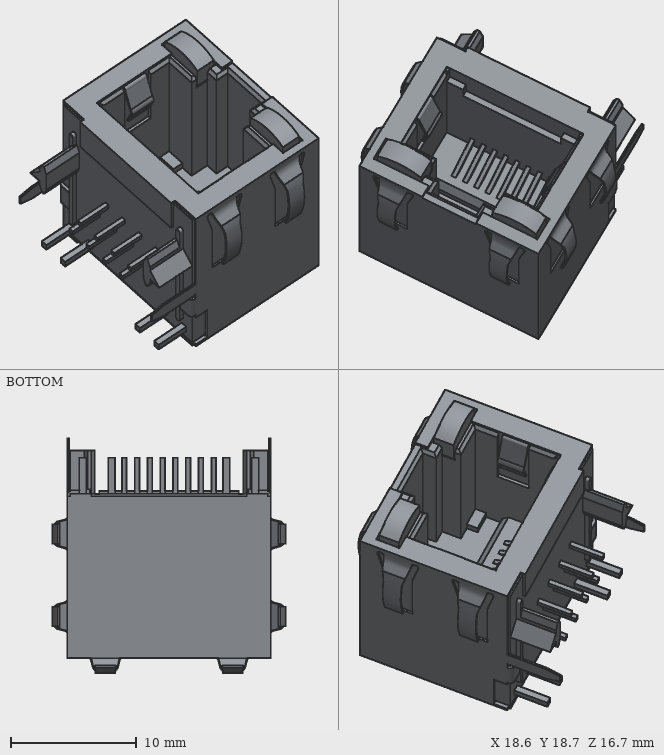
import cadquery as cq
import math


width = 16.23
height = 15.78
shield_depth = 12.9
sheet = 0.17
top_sheet = 0.2
bottom_sheet = 0.22
side_gap = 0.07
housing_face = -13.07
raised_face = -13.31
half_width = width / 2
housing_half = half_width - sheet - side_gap
housing_bottom = 0.37
housing_top = height - top_sheet
gap_depth = 1.12
corner_cut_depth = 1.2
corner_cut_height = 3.57
lip_inner = 6.17
plate_half = 5.55
plate_bottom = 12.72

cavity_half = 5.9
cavity_front = -10.5
cavity_back = -3.67
floor_z = 3.74
shoulder_half = 3.16
shoulder_back = -2.02
key_half = 2.04
key_back = -0.85
lead_in = 0.28
front_ledge = 0.52
front_ledge_z = 14.21
comb_half = 4.43
comb_z = 13.09
shield_notch_half = 2.43
block_back = -6.02
block_top = 4.86
block_chamfer = 0.55
pad_width = 1.65
pad_length = 0.95
pad_height = 0.56

light_x = 5.22
light_width = 3.98
light_front = -3.0
light_back = -1.27
light_edge = 0.37
light_rise = 0.94
window_inner = shoulder_half
window_outer = 7.42
window_front = -3.15
window_back = -1.1
window_depth = 1.5

side_spring_y = (-3.31, -9.9)
back_spring_x = 5.07
spring_rise = 1.2
spring_tip_rise = 0.75
spring_apex_z = 11.5
spring_knee_z = 14.02
spring_knee_rise = 0.77
spring_root_z = 15.15
spring_tip_z = 9.1
spring_half = 0.79
spring_root_half = 1.27
spring_taper_z = 13.2
slot_bottom_z = 8.43
slot_taper_z = 13.03
slot_end_z = 15.03
slot_end_x = 1.55
slot_end_radius = 0.26
slot_depth = 0.19

tab_front = -8.23
tab_back = -5.97
tab_notch_front = -8.34
tab_notch_back = -5.6
tab_notch_z = 9.91
tab_reach = 5.1
tab_fold_top = 13.55
tab_fold_bottom = 12.72
tab_end_x = 5.57
tab_end_z = 11.87

contact_count = 8
contact_span = 7.12
contact_pitch = contact_span / (contact_count - 1)
contact_pin = 0.4
contact_rows_z = (6.02, 7.97)
light_pin = 0.56
light_pin_x = (4.56, 6.86)
left_light_pin_z = 1.33
right_light_pin_z = 1.4
pin_tip = -15.97
contact_back = -7.31
contact_rise = 1.12
contact_thickness = 0.28

rib_x = 6.53
rib_width = 0.45
rib_bottom = 2.23
rib_top = 13.45
rib_face = -13.45
post_tip = -16.55
lug_bottom = 6.41
lug_top = 7.7
lug_taper_y = -16.27
lug_tip = -17.5
lug_tip_inset = 0.28
clip_bottom = 3.83
clip_top = 5.9
clip_inner = 6.79
clip_face = -13.39
clip_bend = 0.45


def span(x0, x1, y0, y1, z0, z1):
    """Box between opposite corner coordinates."""
    return cq.Workplane("XY").box(x1 - x0, y1 - y0, z1 - z0, centered=False).translate((x0, y0, z0))


def both_sides(shape):
    """The shape together with its mirror image across X = 0."""
    return shape.union(shape.mirror("YZ"))


def along_y(outline, y_start, y_end):
    """Extrude an outline sketched in X and Z from y_start towards -Y to y_end."""
    return outline.extrude(y_start - y_end).translate((0, y_start, 0))


def tapered_opening(half, front, back):
    """Rectangular opening through to the floor with a lead-in chamfer under the top sheet."""
    shaft = span(-half, half, front, back, floor_z, height)
    mouth = (
        cq.Workplane("XY", origin=(0, (front + back) / 2, housing_top - lead_in))
        .rect(2 * half, back - front)
        .workplane(offset=lead_in)
        .rect(2 * (half + lead_in), back - front + 2 * lead_in)
        .loft(ruled=True)
    )
    rim = span(-half - lead_in, half + lead_in, front - lead_in, back + lead_in, housing_top, height)
    return shaft.union(mouth).union(rim)


def make_body():
    """Shield box and housing, with the gaps between them at the front."""
    body = span(-half_width, half_width, -shield_depth, 0, 0, height)
    housing = span(-housing_half, housing_half, housing_face, -gap_depth, housing_bottom, housing_top)
    body = body.union(housing)
    body = body.union(span(-plate_half, plate_half, raised_face, -gap_depth, plate_bottom, height))
    lip = span(lip_inner, housing_half, housing_face, -gap_depth, 0, bottom_sheet)
    body = body.union(both_sides(lip))
    gap_back = gap_depth - shield_depth
    gap_outer = housing_half + side_gap
    side_slot = span(housing_half, gap_outer, -shield_depth, gap_back, bottom_sheet, housing_top)
    corner_back = corner_cut_depth - shield_depth
    corner_cut = span(housing_half, half_width, -shield_depth, corner_back, bottom_sheet, corner_cut_height)
    body = body.cut(both_sides(side_slot.union(corner_cut)))
    return body.cut(span(-half_width, half_width, -shield_depth, gap_back, bottom_sheet, housing_bottom))


def make_cavity():
    """Stepped plug opening with a ledge and comb recess at its front."""
    cavity = tapered_opening(cavity_half, cavity_front, cavity_back)
    cavity = cavity.union(tapered_opening(shoulder_half, cavity_front, shoulder_back))
    cavity = cavity.union(tapered_opening(key_half, cavity_front, key_back))
    ledge_front = cavity_front - front_ledge
    cavity = cavity.union(span(-cavity_half, cavity_half, ledge_front, cavity_front, front_ledge_z, height))
    cavity = cavity.union(span(-comb_half, comb_half, ledge_front, cavity_front, comb_z, height))
    rim_half = cavity_half + lead_in
    cavity = cavity.union(span(-rim_half, rim_half, ledge_front, cavity_front, housing_top, height))
    key_relief = span(-shield_notch_half, shield_notch_half, window_back, 0, housing_top, height)
    inner_relief = span(-window_inner, window_inner, cavity_back, window_back, housing_top, height)
    light_relief = span(-rim_half, rim_half, cavity_back, window_front, housing_top, height)
    cavity = cavity.union(key_relief).union(inner_relief).union(light_relief)
    window = span(window_inner, window_outer, window_front, window_back, height - window_depth, height)
    tab_notch = span(0, rim_half, tab_notch_front, tab_notch_back, tab_notch_z, housing_top)
    return cavity.union(both_sides(window.union(tab_notch)))


def make_light():
    """Light with a domed top, standing in its window."""
    left = light_x - light_width / 2
    right = light_x + light_width / 2
    outline = (
        cq.Workplane("XZ")
        .moveTo(left, height - window_depth)
        .lineTo(left, height + light_edge)
        .threePointArc((light_x, height + light_rise), (right, height + light_edge))
        .lineTo(right, height - window_depth)
        .close()
    )
    return along_y(outline, light_back, light_front)


def make_cavity_floor():
    """Contact block, floor pads and the sloping contacts."""
    wall = cavity_front - front_ledge
    block = (
        cq.Workplane("YZ", origin=(-cavity_half, 0, 0))
        .moveTo(wall, floor_z)
        .lineTo(block_back, floor_z)
        .lineTo(block_back, block_top - block_chamfer)
        .lineTo(block_back - block_chamfer, block_top)
        .lineTo(wall, block_top)
        .close()
        .extrude(2 * cavity_half)
    )
    pad_inner = cavity_half - pad_width
    pad = span(pad_inner, cavity_half, cavity_back - pad_length, cavity_back, floor_z, floor_z + pad_height)
    floor = block.union(both_sides(pad))
    contact = (
        cq.Workplane("YZ", origin=(-contact_pin / 2, 0, 0))
        .moveTo(contact_back, block_top - contact_thickness)
        .lineTo(contact_back, block_top)
        .lineTo(cavity_front, block_top + contact_rise)
        .lineTo(wall, block_top + contact_rise)
        .lineTo(wall, block_top + contact_rise - contact_thickness)
        .lineTo(cavity_front, block_top + contact_rise - contact_thickness)
        .close()
        .extrude(contact_pin)
    )
    for x in contact_positions():
        floor = floor.union(contact.translate((x, 0, 0)))
    return floor


def make_cavity_tab():
    """Sheet tab that curls over the rim, slopes into the cavity and folds back at its free end."""
    rim = cavity_half + lead_in
    root = rim + sheet
    slope_top = housing_top - lead_in
    fold_x = tab_reach + sheet
    fold_middle_z = (tab_fold_top + tab_fold_bottom) / 2
    curl_x = rim - lead_in * math.cos(math.pi / 4)
    curl_z = slope_top + lead_in * math.sin(math.pi / 4)
    outline = (
        cq.Workplane("XZ")
        .moveTo(root, housing_top)
        .lineTo(rim, housing_top)
        .threePointArc((curl_x, curl_z), (cavity_half, slope_top))
        .lineTo(fold_x, tab_fold_top)
        .threePointArc((tab_reach, fold_middle_z), (fold_x, tab_fold_bottom))
        .lineTo(tab_end_x, tab_end_z)
        .lineTo(tab_end_x + sheet, tab_end_z)
        .lineTo(fold_x + sheet, tab_fold_bottom)
        .threePointArc((tab_reach + sheet, fold_middle_z), (fold_x + sheet, tab_fold_top))
        .lineTo(cavity_half + sheet, slope_top - sheet)
        .lineTo(root, slope_top)
        .close()
    )
    return along_y(outline, tab_back, tab_front)


def make_spring_slot():
    """Recess with a straight lower part and two round-ended branches."""
    lower = span(-slot_depth, 0, -spring_root_half, spring_root_half, slot_bottom_z, slot_taper_z)
    wedge = (
        cq.Workplane("YZ", origin=(-slot_depth, 0, 0))
        .moveTo(-spring_root_half, slot_taper_z)
        .lineTo(spring_root_half, slot_taper_z)
        .lineTo(slot_end_x + slot_end_radius, slot_end_z)
        .lineTo(spring_root_half, spring_root_z)
        .lineTo(-spring_root_half, spring_root_z)
        .lineTo(-slot_end_x - slot_end_radius, slot_end_z)
        .close()
        .extrude(slot_depth)
    )
    ends = (
        cq.Workplane("YZ", origin=(-slot_depth, 0, 0))
        .pushPoints([(-slot_end_x, slot_end_z), (slot_end_x, slot_end_z)])
        .circle(slot_end_radius)
        .extrude(slot_depth)
    )
    return lower.union(wedge).union(ends)


def make_spring():
    """Bowed sheet finger, narrowing from its root to a parallel tip."""
    bend_middle_rise = 0.07
    bend_middle_z = 14.83
    bend_end_rise = 0.26
    bend_end_z = 14.55
    inner_apex = (spring_rise - sheet, spring_apex_z)
    inner_knee = (spring_knee_rise - sheet, spring_knee_z - sheet / 3)
    bow = (
        cq.Workplane("XZ", origin=(0, spring_root_half, 0))
        .moveTo(-sheet, spring_root_z + sheet)
        .lineTo(0, spring_root_z)
        .threePointArc((bend_middle_rise, bend_middle_z), (bend_end_rise, bend_end_z))
        .lineTo(spring_knee_rise, spring_knee_z)
        .threePointArc((spring_rise, spring_apex_z), (spring_tip_rise, spring_tip_z))
        .lineTo(spring_tip_rise - sheet, spring_tip_z + sheet / 3)
        .threePointArc(inner_apex, inner_knee)
        .lineTo(bend_end_rise - sheet, bend_end_z - sheet / 2)
        .lineTo(-sheet, bend_middle_z)
        .close()
        .extrude(2 * spring_root_half)
    )
    outline = (
        cq.Workplane("YZ", origin=(-sheet, 0, 0))
        .moveTo(-spring_half, 0)
        .lineTo(-spring_half, spring_taper_z)
        .lineTo(-spring_root_half, spring_root_z)
        .lineTo(-spring_root_half, height)
        .lineTo(spring_root_half, height)
        .lineTo(spring_root_half, spring_root_z)
        .lineTo(spring_half, spring_taper_z)
        .lineTo(spring_half, 0)
        .close()
        .extrude(2 * spring_rise)
    )
    return bow.intersect(outline)


def at_spring_places(shape):
    """Copies of a spring feature, two on each side and two on the back."""
    places = [(half_width, y, 0) for y in side_spring_y]
    places += [(-half_width, y, 180) for y in side_spring_y]
    places += [(x, 0, 90) for x in (-back_spring_x, back_spring_x)]
    return [shape.rotate((0, 0, 0), (0, 0, 1), turn).translate((x, y, 0)) for x, y, turn in places]


def contact_positions():
    """X positions of the evenly pitched contacts."""
    middle = (contact_count - 1) / 2
    return [(i - middle) * contact_pitch for i in range(contact_count)]


def make_pin(x, z, size):
    """Square pin standing on the housing face."""
    half = size / 2
    return span(x - half, x + half, pin_tip, housing_face + gap_depth, z - half, z + half)


def make_pins():
    """Two staggered rows of contact pins and two pairs of light pins."""
    pins = cq.Workplane("XY")
    for i, x in enumerate(contact_positions()):
        pins = pins.add(make_pin(x, contact_rows_z[i % 2], contact_pin))
    for x in light_pin_x:
        pins = pins.add(make_pin(-x, left_light_pin_z, light_pin))
        pins = pins.add(make_pin(x, right_light_pin_z, light_pin))
    return pins.combine()


def make_rib():
    """Tall round-ended standoff rib on the housing face."""
    outline = (
        cq.Workplane("XZ")
        .center(rib_x, (rib_bottom + rib_top) / 2)
        .slot2D(rib_top - rib_bottom, rib_width, 90)
    )
    return along_y(outline, housing_face + gap_depth, rib_face)


def make_post():
    """Locating post with pointed ends and a triangular side fin."""
    inner = 5.9
    outer = rib_x + rib_width / 2
    tip_inner = 6.2
    tip_outer = 6.45
    post_top = 12.12
    post_bottom = 8.77
    shoulder_top = 11.45
    shoulder_bottom = 9.52
    fin_top = 11.03
    fin_bottom = 9.9
    core = (
        cq.Workplane("XZ")
        .polyline([
            (tip_inner, post_top), (inner, shoulder_top), (inner, shoulder_bottom), (tip_inner, post_bottom),
            (tip_outer, post_bottom), (outer, shoulder_bottom), (outer, shoulder_top), (tip_outer, post_top),
        ])
        .close()
    )
    fin = (
        cq.Workplane("XZ")
        .polyline([(inner, fin_bottom), (housing_half, fin_bottom), (outer, fin_top), (inner, fin_top)])
        .close()
    )
    base = housing_face + gap_depth
    return along_y(core, base, post_tip).union(along_y(fin, base, post_tip))


def make_lug():
    """Flat pointed grounding lug continuing the side of the shield."""
    return (
        cq.Workplane("YZ", origin=(half_width - sheet, 0, 0))
        .moveTo(-shield_depth + gap_depth, lug_bottom)
        .lineTo(lug_taper_y, lug_bottom)
        .lineTo(lug_tip, lug_bottom + lug_tip_inset)
        .lineTo(lug_tip, lug_top - lug_tip_inset)
        .lineTo(lug_taper_y, lug_top)
        .lineTo(-shield_depth + gap_depth, lug_top)
        .close()
        .extrude(sheet)
    )


def make_clip():
    """Shield tab bent around the front corner of the housing."""
    clip = span(clip_inner, half_width, clip_face, housing_face, clip_bottom, clip_top)
    side = span(housing_half, half_width, housing_face, gap_depth - shield_depth, clip_bottom, clip_top)
    return clip.union(side).edges("|Z and >X and <Y").fillet(clip_bend)


result = make_body().cut(make_cavity())
for slot in at_spring_places(make_spring_slot()):
    result = result.cut(slot)
for spring in at_spring_places(make_spring()):
    result = result.union(spring)
result = result.union(make_cavity_floor()).union(make_pins())
for feature in (make_light(), make_cavity_tab(), make_rib(), make_post(), make_lug(), make_clip()):
    result = result.union(both_sides(feature))